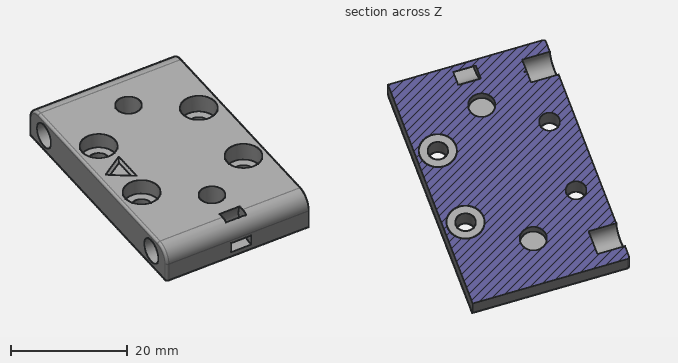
import cadquery as cq
import math

length = 46.0
width = 28.5
height = 7.0
shoulder_radius = 3.0
edge_radius = 0.5
front_y = -width / 2
right_x = length / 2

screw_diameter = 3.5
head_diameter = 6.5
front_head_depth = 3.0
rear_head_depth = 3.5
front_screw_y = front_y + 4.5
rear_screw_y = front_screw_y + 20.0
screw_x = 7.2
rear_right_screw_x = 7.8
front_screws = [(-screw_x, front_screw_y), (screw_x, front_screw_y)]
rear_screws = [(-screw_x, rear_screw_y), (rear_right_screw_x, rear_screw_y)]

top_pocket_diameter = 4.6
top_pocket_depth = 5.0
top_pocket_x = 14.0
top_pocket_y = front_y + 14.5
front_pocket_diameter = 4.7
front_pocket_depth = 5.0
front_pocket_x = 18.0
front_pocket_z = height / 2

arrow_half_width = 3.0
arrow_tip_y = front_y + 1.6
arrow_base_y = front_y + 6.0
arrow_inset = 0.5
arrow_depth = 0.5

slot_inner_radius = 2.0
slot_thickness = 2.0
slot_outer_radius = slot_inner_radius + slot_thickness
slot_width = 4.0
slot_center_x = right_x - 0.32
slot_center_y = front_y + 15.0
slot_center_z = height - 1.72


def make_plate():
    """Plate with rounded shoulders and softened front and bottom side edges."""
    plate = cq.Workplane("XY").box(length, width, height, centered=(True, True, False))
    plate = plate.edges("|Y and >Z").fillet(shoulder_radius)
    front_outline = plate.faces("<Y").edges()
    bottom_sides = plate.edges("|Y and <Z")
    return plate.newObject(front_outline.vals() + bottom_sides.vals()).fillet(edge_radius)


def cut_screw_holes(body, positions, head_depth):
    """Through holes whose flat-bottomed head recesses open at the top face."""
    return (
        body.faces(">Z")
        .workplane(origin=(0, 0, height))
        .pushPoints(positions)
        .cboreHole(screw_diameter, head_diameter, head_depth)
    )


def cut_pockets(body):
    """Mirrored pairs of round blind pockets, one pair in the top and one in the front."""
    for side in (-1, 1):
        top_pocket = (
            cq.Workplane("XY", origin=(side * top_pocket_x, top_pocket_y, height))
            .circle(top_pocket_diameter / 2)
            .extrude(-top_pocket_depth)
        )
        front_pocket = (
            cq.Workplane("XZ", origin=(side * front_pocket_x, front_y, front_pocket_z))
            .circle(front_pocket_diameter / 2)
            .extrude(-front_pocket_depth)
        )
        body = body.cut(top_pocket).cut(front_pocket)
    return body


def cut_arrow(body):
    """Shallow triangle with walls sloping in to a flat floor."""
    wall_taper = math.degrees(math.atan2(arrow_inset, arrow_depth))
    corners = [
        (-arrow_half_width, arrow_base_y),
        (0, arrow_tip_y),
        (arrow_half_width, arrow_base_y),
    ]
    arrow = (
        cq.Workplane("XY", origin=(0, 0, height))
        .polyline(corners)
        .close()
        .extrude(-arrow_depth, taper=wall_taper)
    )
    return body.cut(arrow)


def cut_strap_slot(body):
    """Ring-shaped cut about a Y axis, leaving a round-backed bar at the shoulder."""
    ring = (
        cq.Workplane("XZ", origin=(slot_center_x, slot_center_y, slot_center_z))
        .circle(slot_outer_radius)
        .circle(slot_inner_radius)
        .extrude(slot_width / 2, both=True)
    )
    return body.cut(ring)


result = make_plate()
result = cut_screw_holes(result, front_screws, front_head_depth)
result = cut_screw_holes(result, rear_screws, rear_head_depth)
result = cut_pockets(result)
result = cut_arrow(result)
result = cut_strap_slot(result)